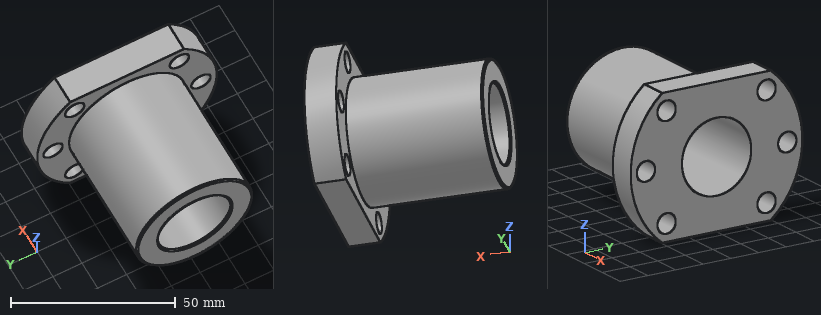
import cadquery as cq
import math

total_length = 53.0
flange_thickness = 10.0
flange_diameter = 62.0
flange_height = 48.0
body_diameter = 40.0
bore_diameter = 25.0

body_chamfer = 0.5
bore_chamfer = 0.5

hole_diameter = 6.6
hole_circle_diameter = 51.0
hole_angles = (-45, 0, 45, 135, 180, 225)

body_length = total_length - flange_thickness


def make_body():
    """Cylindrical body with its free end at X = 0."""
    body = cq.Workplane("YZ").circle(body_diameter / 2).extrude(total_length)
    return body.faces("<X").edges().chamfer(body_chamfer)


def make_flange():
    """Round flange cut by two flats, at the +X end."""
    flange_face = cq.Workplane("YZ", origin=(body_length, 0, 0))
    disc = flange_face.circle(flange_diameter / 2).extrude(flange_thickness)
    flats = cq.Workplane("XY").box(total_length, flange_diameter, flange_height)
    return disc.intersect(flats.translate((total_length / 2, 0, 0)))


def make_bore():
    """Through bore with a chamfered mouth at the free end."""
    bore_radius = bore_diameter / 2
    mouth_radius = bore_radius + bore_chamfer
    profile = (
        cq.Workplane("XY")
        .lineTo(0, mouth_radius)
        .lineTo(bore_chamfer, bore_radius)
        .lineTo(total_length, bore_radius)
        .lineTo(total_length, 0)
        .close()
    )
    return profile.revolve(360, (0, 0, 0), (1, 0, 0))


def make_mounting_holes():
    """Six through holes, three on each side of the flange."""
    pitch_radius = hole_circle_diameter / 2
    centers = []
    for angle in hole_angles:
        turn = math.radians(angle)
        centers.append((pitch_radius * math.cos(turn), pitch_radius * math.sin(turn)))
    flange_face = cq.Workplane("YZ", origin=(body_length, 0, 0))
    return flange_face.pushPoints(centers).circle(hole_diameter / 2).extrude(flange_thickness)


result = make_body().union(make_flange()).cut(make_bore()).cut(make_mounting_holes())